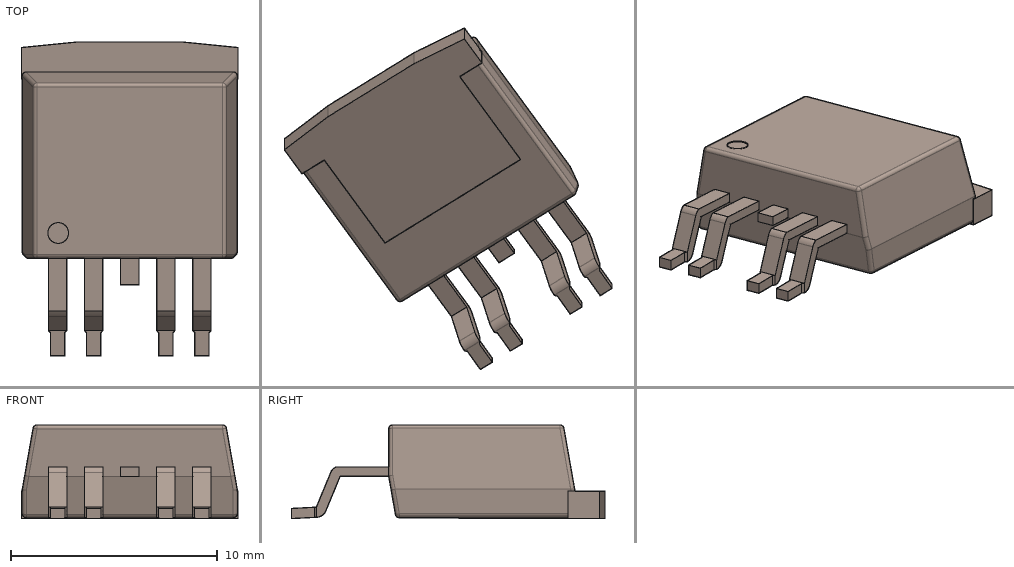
import cadquery as cq
import math


def slope(angle):
    """Sideways run per unit of height for an angle measured from the vertical."""
    return math.tan(math.radians(angle))


body_width = 10.41
body_length = 9.01
body_bottom = 0.05
body_top = 4.55
body_draft = 10
side_parting_z = 1.43
body_fillet = 0.2

dimple_diameter = 1.0
dimple_depth = 0.05
dimple_x = -3.47
dimple_y = 1.23

tab_width = 10.5
tab_thickness = 1.34
tab_front_y = 8.68
tab_back_y = 10.49
tab_shoulder_drop = 0.27
tab_flat_width = 5.02
pad_width = 7.9
pad_front_y = 3.4

lead_pitch = 1.75
lead_width = 0.9
lead_thickness = 0.45
sheet_thickness = 0.5
lead_bottom = 2.05
lead_reach = 4.71
lead_anchor = 0.76
bend_y = -2.34
shank_angle = 22.5
stub_reach = 1.28

foot_width = 0.7
foot_length = 1.22
foot_tilt = 3


def make_body():
    back_bottom_y = body_length + (side_parting_z - body_bottom) * slope(body_draft)
    upper_inset = (body_top - side_parting_z) * slope(body_draft)
    lower_inset = (lead_bottom - body_bottom) * slope(body_draft)
    side_profile = (
        cq.Workplane("YZ")
        .moveTo(lower_inset, body_bottom)
        .lineTo(0, lead_bottom)
        .lineTo(0, body_top)
        .lineTo(body_length - upper_inset, body_top)
        .lineTo(back_bottom_y, body_bottom)
        .close()
        .extrude(body_width / 2, both=True)
    )
    half_width = body_width / 2
    front_profile = (
        cq.Workplane("XZ")
        .moveTo(-half_width, body_bottom)
        .lineTo(-half_width, side_parting_z)
        .lineTo(upper_inset - half_width, body_top)
        .lineTo(half_width - upper_inset, body_top)
        .lineTo(half_width, side_parting_z)
        .lineTo(half_width, body_bottom)
        .close()
        .extrude(-back_bottom_y)
    )
    body = side_profile.intersect(front_profile)
    body = body.edges("<Z or >Z or (not (|X or |Y))").fillet(body_fillet)
    dimple = (
        cq.Workplane("XY", origin=(dimple_x, dimple_y, body_top - dimple_depth))
        .circle(dimple_diameter / 2)
        .extrude(dimple_depth)
    )
    return body.cut(dimple)


def make_tab():
    shoulder_y = tab_back_y - tab_shoulder_drop
    tab = (
        cq.Workplane("XY")
        .moveTo(-tab_width / 2, tab_front_y)
        .lineTo(tab_width / 2, tab_front_y)
        .lineTo(tab_width / 2, shoulder_y)
        .lineTo(tab_flat_width / 2, tab_back_y)
        .lineTo(-tab_flat_width / 2, tab_back_y)
        .lineTo(-tab_width / 2, shoulder_y)
        .close()
        .extrude(tab_thickness)
    )
    pad = (
        cq.Workplane("XY")
        .center(0, (pad_front_y + tab_front_y) / 2)
        .rect(pad_width, tab_front_y - pad_front_y)
        .extrude(tab_thickness)
    )
    return tab.union(pad)


def point_around(center, angle):
    """Point (y, z) one sheet thickness from a bend center; angle in degrees, from +Y towards +Z."""
    y, z = center
    turn = math.radians(angle)
    return y + sheet_thickness * math.cos(turn), z + sheet_thickness * math.sin(turn)


def make_formed_lead(x):
    lead_top = lead_bottom + lead_thickness
    shank_run = slope(shank_angle)
    foot_rise = slope(foot_tilt)
    tip_top = sheet_thickness / math.cos(math.radians(foot_tilt))

    bend_corner = (bend_y, lead_bottom)
    shank_outer_y = bend_y - sheet_thickness / math.cos(math.radians(shank_angle))
    heel_fall = lead_bottom - tip_top - foot_rise * (shank_outer_y + lead_reach)
    heel_drop = heel_fall / (1 - shank_run * foot_rise)
    heel_corner = (shank_outer_y - shank_run * heel_drop, lead_bottom - heel_drop)

    top_angle = 180 - math.degrees(math.asin(lead_thickness / sheet_thickness))
    shank_normal = 180 - shank_angle
    heel_start = foot_tilt - 90
    heel_end = -shank_angle

    lead = (
        cq.Workplane("YZ")
        .moveTo(lead_anchor, lead_top)
        .lineTo(*point_around(bend_corner, top_angle))
        .threePointArc(
            point_around(bend_corner, (top_angle + shank_normal) / 2),
            point_around(bend_corner, shank_normal),
        )
        .lineTo(*heel_corner)
        .lineTo(-lead_reach, tip_top)
        .lineTo(-lead_reach, 0)
        .lineTo(*point_around(heel_corner, heel_start))
        .threePointArc(
            point_around(heel_corner, (heel_start + heel_end) / 2),
            point_around(heel_corner, heel_end),
        )
        .lineTo(*bend_corner)
        .lineTo(lead_anchor, lead_bottom)
        .close()
        .extrude(lead_width / 2, both=True)
    )

    side_step = (lead_width - foot_width) / 2
    foot_back_y = foot_length - lead_reach
    outline = (
        cq.Workplane("XY")
        .moveTo(-lead_width / 2, lead_anchor)
        .lineTo(-lead_width / 2, foot_back_y)
        .lineTo(-foot_width / 2, foot_back_y - side_step)
        .lineTo(-foot_width / 2, -lead_reach)
        .lineTo(foot_width / 2, -lead_reach)
        .lineTo(foot_width / 2, foot_back_y - side_step)
        .lineTo(lead_width / 2, foot_back_y)
        .lineTo(lead_width / 2, lead_anchor)
        .close()
        .extrude(lead_top)
    )
    return lead.intersect(outline).translate((x, 0, 0))


def make_stub_lead():
    return (
        cq.Workplane("XY", origin=(0, 0, lead_bottom))
        .center(0, (lead_anchor - stub_reach) / 2)
        .rect(lead_width, lead_anchor + stub_reach)
        .extrude(lead_thickness)
    )


result = make_body().union(make_tab()).union(make_stub_lead())
for position in (-2, -1, 1, 2):
    result = result.union(make_formed_lead(position * lead_pitch))